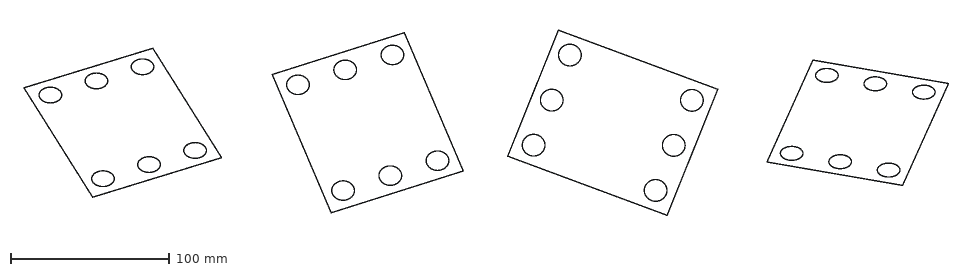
import cadquery as cq

length = 107.95
width = 88.9
thickness = 0.25

hole_diameter = 14.22
edge_inset = 12.7
columns = 2
rows = 3
column_pitch = (length - 2 * edge_inset) / (columns - 1)
row_pitch = (width - 2 * edge_inset) / (rows - 1)


def make_plate():
    """Flat plate centred on the origin in X and Y, with its bottom face at Z = 0."""
    return cq.Workplane("XY").box(length, width, thickness, centered=(True, True, False))


def drill_holes(plate):
    """Drill the grid of through holes from the top face."""
    return plate.faces(">Z").workplane().rarray(column_pitch, row_pitch, columns, rows).hole(hole_diameter)


result = drill_holes(make_plate())